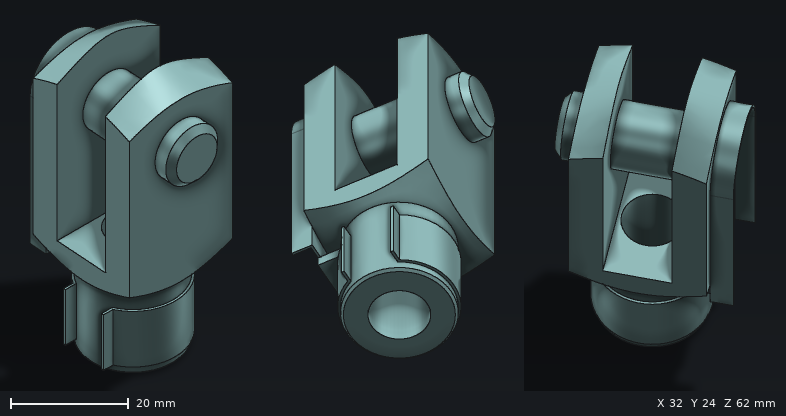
import cadquery as cq
import math

total_height = 62.0
body_width = 24.0
slot_width = 12.0
slot_floor_z = 24.0
body_bottom_z = 18.0
cone_angle = math.radians(30)
neck_diameter = 20.0
neck_chamfer = 0.5
bore_diameter = 10.65

pin_diameter = 12.0
pin_axis_z = 48.0
pin_overhang = 3.95
pin_chamfer = 1.3

sheet = 0.5
channel_width = 18.0
channel_depth = 4.0
channel_bottom_z = 16.0
tongue_width = 12.0
ring_bottom_z = 2.0
ring_top_z = 14.0
ring_gap = 9.0
ear_tip_y = -11.5

neck_radius = neck_diameter / 2
half_body = body_width / 2


def cylinder_z(radius, bottom, top):
    return cq.Workplane("XY").workplane(offset=bottom).circle(radius).extrude(top - bottom)


def box_between(x_range, y_range, z_range):
    """Axis-aligned box from its limits along each axis."""
    spans = [high - low for low, high in (x_range, y_range, z_range)]
    corner = (x_range[0], y_range[0], z_range[0])
    return cq.Workplane("XY").box(*spans, centered=False).translate(corner)


def make_fork():
    """Square body turned conical at both ends, on a round bored neck."""
    slope = math.tan(cone_angle)
    apex_z = total_height + slot_width / 2 * slope
    turned_radius = body_width
    envelope = (
        cq.Workplane("XZ")
        .moveTo(0, body_bottom_z)
        .lineTo(neck_radius, body_bottom_z)
        .lineTo(turned_radius, body_bottom_z + (turned_radius - neck_radius) * slope)
        .lineTo(turned_radius, apex_z - turned_radius * slope)
        .lineTo(0, apex_z)
        .close()
        .revolve(360, (0, 0, 0), (0, 1, 0))
    )
    sides = (-half_body, half_body)
    body = box_between(sides, sides, (body_bottom_z, apex_z)).intersect(envelope)
    neck = cylinder_z(neck_radius, 0, body_bottom_z).faces("<Z").chamfer(neck_chamfer)
    slot = box_between((-slot_width / 2, slot_width / 2), sides, (slot_floor_z, apex_z))
    bore = cylinder_z(bore_diameter / 2, 0, slot_floor_z)
    return body.union(neck).cut(slot).cut(bore)


def make_pin():
    """Cross pin from the clip side to its chamfered free end."""
    return (
        cq.Workplane("YZ", origin=(-half_body, 0, pin_axis_z))
        .circle(pin_diameter / 2)
        .extrude(body_width + pin_overhang)
        .faces(">X")
        .chamfer(pin_chamfer)
    )


def arched_plate(width, bottom, x_start, depth):
    """Plate normal to X whose top is a half circle about the pin axis."""
    radius = width / 2
    return (
        cq.Workplane("YZ", origin=(x_start, 0, 0))
        .moveTo(-radius, bottom)
        .lineTo(radius, bottom)
        .lineTo(radius, pin_axis_z)
        .threePointArc((0, pin_axis_z + radius), (-radius, pin_axis_z))
        .close()
        .extrude(depth)
    )


def make_channel():
    """Flanged clip plate against the fork, open outward and at the bottom."""
    outer_x = -half_body - channel_depth
    channel = arched_plate(channel_width, channel_bottom_z, outer_x, channel_depth)
    recess = arched_plate(channel_width - 2 * sheet, channel_bottom_z, outer_x, channel_depth - sheet)
    return channel.cut(recess)


def make_tongue():
    """Block joining the channel base to the neck just above the ring."""
    half_tongue = tongue_width / 2
    block = box_between(
        (-half_body - sheet, 0), (-half_tongue, half_tongue), (ring_top_z, channel_bottom_z)
    )
    return block.cut(cylinder_z(neck_radius, ring_top_z, channel_bottom_z))


def make_ring():
    """Split ring around the neck with an ear on each side of the gap."""
    outer_radius = neck_radius + sheet
    half_gap = ring_gap / 2
    heights = (ring_bottom_z, ring_top_z)
    ring = cylinder_z(outer_radius, *heights)
    ring = ring.cut(box_between((-half_gap, half_gap), (-outer_radius, 0), heights))
    ear_root_y = -math.sqrt(neck_radius**2 - half_gap**2)
    for inner_x in (-half_gap - sheet, half_gap):
        ear = box_between((inner_x, inner_x + sheet), (ear_tip_y, ear_root_y), heights)
        ring = ring.union(ear)
    return ring.cut(cylinder_z(neck_radius, *heights))


result = make_fork()
for piece in (make_pin(), make_channel(), make_tongue(), make_ring()):
    result = result.union(piece)